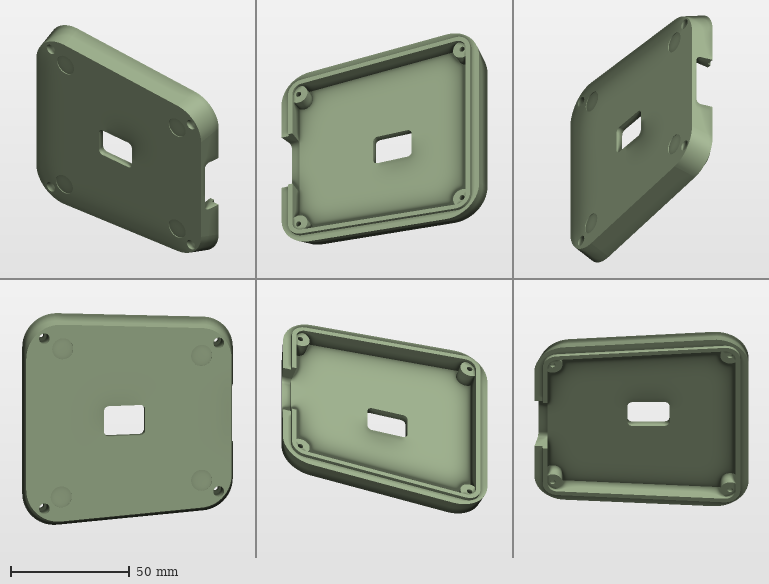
import cadquery as cq
import math


tilt = 9.8
body_height = 9.1
side_angle = 3.5
face_length = 88.4
face_half_width = 43.4
rim_length = 90.7
rim_half_width = 46.6
wide_corner_radius = 14.25
narrow_corner_radius = 13.5

lip_inset = 3.6
lip_height = 1.5
lip_radius = 6.4
lip_wall = 2.0
floor_thickness = 3.0
cavity_depth = body_height + lip_height - floor_thickness

window_center_x = 42.4
window_length = 17.7
window_width = 13.1
window_radius = 2.1

notch_width = 24.8
notch_radius = 2.1
notch_depth = 2.0
notch_reach = lip_inset + lip_wall

screw_points = [(7.9, 36.7), (82.9, 32.1), (82.9, -32.1), (7.9, -36.7)]
screw_diameter = 2.4
head_diameter = 4.6
head_depth = 7.0
boss_diameter = 8.2

foot_points = [(15.7, 32.1), (75.5, 26.9), (75.5, -26.9), (15.1, -31.9)]
foot_diameter = 9.0
foot_depth = 0.4

side_slope = math.tan(math.radians(side_angle))


def trapezoid(length, half_width, inset, z):
    """Closed trapezoid wire at height z, with all four sides moved inwards by inset."""
    side_shift = inset / math.cos(math.radians(side_angle))
    x_wide = inset
    x_narrow = length - inset
    y_wide = half_width - side_slope * x_wide - side_shift
    y_narrow = half_width - side_slope * x_narrow - side_shift
    corners = [(x_wide, -y_wide), (x_narrow, -y_narrow), (x_narrow, y_narrow), (x_wide, y_wide)]
    return cq.Workplane("XY").workplane(offset=z).polyline(corners).close()


def rounded_outline(length, half_width, z):
    """Trapezoid wire at height z with rounded corners."""
    wire = trapezoid(length, half_width, 0, z).val()
    wide_corners = [v for v in wire.Vertices() if v.X < length / 2]
    wire = wire.fillet2D(wide_corner_radius, wide_corners)
    narrow_corners = [v for v in wire.Vertices() if v.X > length / 2]
    return wire.fillet2D(narrow_corner_radius, narrow_corners)


def rim_prism(inset, radius, z_start, height):
    """Upright block following the rim outline, inset from it, extending to -Z."""
    block = trapezoid(rim_length, rim_half_width, inset, z_start).extrude(-height)
    return block.edges("|Z").fillet(radius)


def drafted_body():
    face = rounded_outline(face_length, face_half_width, 0)
    rim = rounded_outline(rim_length, rim_half_width, -body_height)
    return cq.Workplane(cq.Solid.makeLoft([face, rim], True))


def rods(points, diameter, z_start, height):
    """Round rods at the given points, extending to -Z."""
    return (
        cq.Workplane("XY").workplane(offset=z_start)
        .pushPoints(points).circle(diameter / 2).extrude(-height)
    )


def cavity():
    pocket = rim_prism(lip_inset + lip_wall, lip_radius - lip_wall, -floor_thickness, cavity_depth)
    boss_height = body_height - floor_thickness
    return pocket.cut(rods(screw_points, boss_diameter, -floor_thickness, boss_height))


def window():
    block = cq.Workplane("XY").center(window_center_x, 0).rect(window_length, window_width)
    return block.extrude(-floor_thickness).edges("|Z").fillet(window_radius)


def notch():
    """Slot through the narrow end wall, open at the rim."""
    block = (
        cq.Workplane("XY").workplane(offset=-notch_depth)
        .center(rim_length - notch_reach / 2, 0)
        .rect(notch_reach, notch_width).extrude(notch_depth - body_height - lip_height)
    )
    return block.edges("|X and >Z").fillet(notch_radius)


body = drafted_body().union(rim_prism(lip_inset, lip_radius, -body_height, lip_height))
body = body.cut(cavity()).cut(window()).cut(notch())
body = body.cut(rods(screw_points, head_diameter, 0, head_depth))
body = body.cut(rods(screw_points, screw_diameter, 0, body_height))
body = body.cut(rods(foot_points, foot_diameter, 0, foot_depth))

result = body.rotate((0, 0, 0), (1, 0, 0), 90).rotate((0, 0, 0), (0, 0, 1), -tilt)